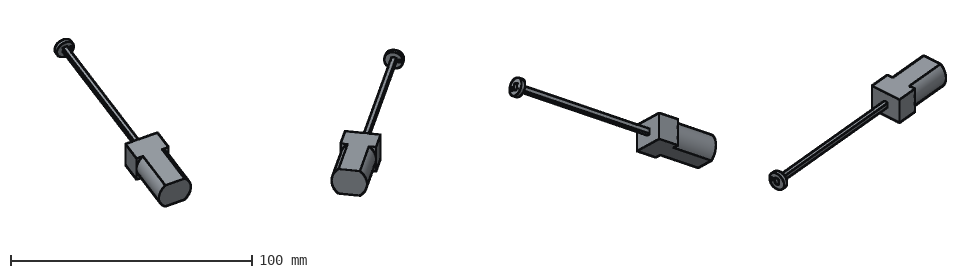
import cadquery as cq

total_length = 100.0

gearbox_length = 10.0
motor_width = 15.0
motor_height = 12.0
can_length = 20.0

shaft_diameter = 3.0
shaft_across_flats = 2.0

disc_diameter = 8.0
disc_thickness = 2.0
crank_hole_diameter = 1.5
crank_hole_offset = 2.6
bore_clearance = 0.1

gearbox_start = total_length - can_length - gearbox_length
can_start = gearbox_start + gearbox_length


def bar(x_start, length, width, height):
    """Rectangular bar centred on the X axis."""
    return cq.Workplane("YZ", origin=(x_start, 0, 0)).rect(width, height).extrude(length)


def cylinder(x_start, length, diameter, y=0.0):
    """Cylinder along X, offset sideways by y."""
    return cq.Workplane("YZ", origin=(x_start, y, 0)).circle(diameter / 2).extrude(length)


def flatted_cylinder(x_start, length, width, height):
    """Cylinder whose diameter is the larger size, with flats across the smaller."""
    round_bar = cylinder(x_start, length, max(width, height))
    return round_bar.intersect(bar(x_start, length, width, height))


def make_shaft(length, clearance=0.0):
    """Shaft from its free end, grown by the clearance on every side."""
    width = shaft_across_flats + 2 * clearance
    height = shaft_diameter + 2 * clearance
    return flatted_cylinder(0, length, width, height)


def make_motor():
    """Gearbox, can and output shaft as one solid."""
    gearbox = bar(gearbox_start, gearbox_length, motor_width, motor_height)
    can = flatted_cylinder(can_start, can_length, motor_width, motor_height)
    return gearbox.union(can).union(make_shaft(gearbox_start))


def make_disc():
    """Disc with a clearance bore for the shaft and an off-centre crank hole."""
    disc = cylinder(0, disc_thickness, disc_diameter)
    crank_hole = cylinder(0, disc_thickness, crank_hole_diameter, crank_hole_offset)
    bore = make_shaft(disc_thickness, bore_clearance)
    return disc.cut(bore).cut(crank_hole)


motor = make_motor()
disc = make_disc()

result = cq.Compound.makeCompound([*motor.solids().vals(), *disc.solids().vals()])